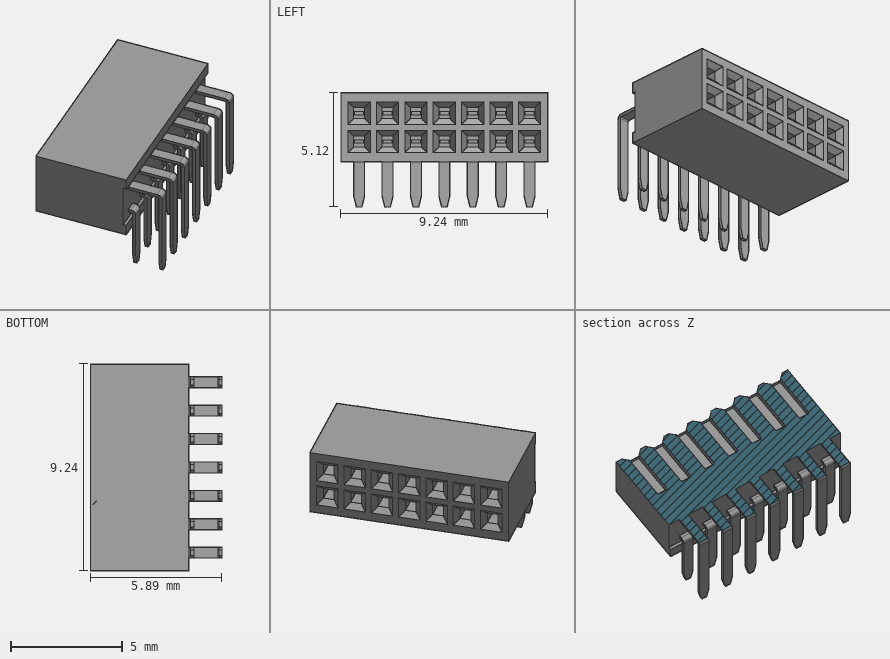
import cadquery as cq


length = 9.24
depth = 4.4
height = 3.1
relief_depth = 0.15
lip_height = 0.53

columns = 7
rows = 2
end_margin = 0.81
pitch = (length - 2 * end_margin) / (columns - 1)

cavity_width = 0.5
funnel_depth = 0.25
mouth_width = cavity_width + 2 * funnel_depth
cavity_depth = 2.495

pin_width = 0.5
pin_thickness = 0.15
bend_radius = 0.22
pin_reach = 5.89
tail_drop = 2.02
tip_length = 0.5
tip_width = pin_width / 2

slot_depth = 0.05

back_wall = depth - relief_depth
column_positions = [(i - (columns - 1) / 2) * pitch for i in range(columns)]
row_heights = [height / 2 + (j - (rows - 1) / 2) * pitch for j in range(rows)]
tail_faces = [pin_reach - (rows - 1 - j) * pitch for j in range(rows)]


def make_housing():
    """Block with a full-length recess between two lips on its back face."""
    block = cq.Workplane("XY").box(depth, length, height, centered=(False, True, False))
    relief = (
        cq.Workplane("XY")
        .box(relief_depth, length, height - 2 * lip_height, centered=(False, True, False))
        .translate((back_wall, 0, lip_height))
    )
    return block.cut(relief)


def make_opening():
    """Lead-in funnel, square cavity and floor slot, centred on the X axis."""
    funnel = (
        cq.Workplane("YZ")
        .rect(mouth_width, mouth_width)
        .workplane(offset=funnel_depth)
        .rect(cavity_width, cavity_width)
        .loft(ruled=True)
    )
    cavity = cq.Workplane("YZ").rect(cavity_width, cavity_width).extrude(cavity_depth)
    slot_half = cavity_width / 2
    floor_half = slot_half - slot_depth
    slot_floor = cavity_depth + slot_depth
    slot = (
        cq.Workplane("XY")
        .polyline([
            (cavity_depth, -slot_half),
            (slot_floor, -floor_half),
            (slot_floor, floor_half),
            (cavity_depth, slot_half),
        ])
        .close()
        .extrude(pin_thickness / 2, both=True)
    )
    return funnel.union(cavity).union(slot)


def make_pin(axis_height, tail_face):
    """Flat pin centred on Y = 0, bent down at the back, with a tapered tip."""
    top = axis_height + pin_thickness / 2
    underside = top - pin_thickness
    inner_face = tail_face - pin_thickness
    inner_radius = bend_radius - pin_thickness
    strip = (
        cq.Workplane("XZ")
        .moveTo(back_wall, top)
        .lineTo(tail_face - bend_radius, top)
        .radiusArc((tail_face, top - bend_radius), bend_radius)
        .lineTo(tail_face, -tail_drop)
        .lineTo(inner_face, -tail_drop)
        .lineTo(inner_face, underside - inner_radius)
        .radiusArc((inner_face - inner_radius, underside), -inner_radius)
        .lineTo(back_wall, underside)
        .close()
        .extrude(pin_width / 2, both=True)
    )
    tip_start = tip_length - tail_drop
    outline = (
        cq.Workplane("YZ")
        .polyline([
            (-pin_width / 2, top),
            (-pin_width / 2, tip_start),
            (-tip_width / 2, -tail_drop),
            (tip_width / 2, -tail_drop),
            (pin_width / 2, tip_start),
            (pin_width / 2, top),
        ])
        .close()
        .extrude(pin_reach)
    )
    return strip.intersect(outline)


result = make_housing()
opening = make_opening()
for row_height, tail_face in zip(row_heights, tail_faces):
    pin = make_pin(row_height, tail_face)
    for y in column_positions:
        result = result.cut(opening.translate((0, y, row_height)))
        result = result.union(pin.translate((0, y, 0)))